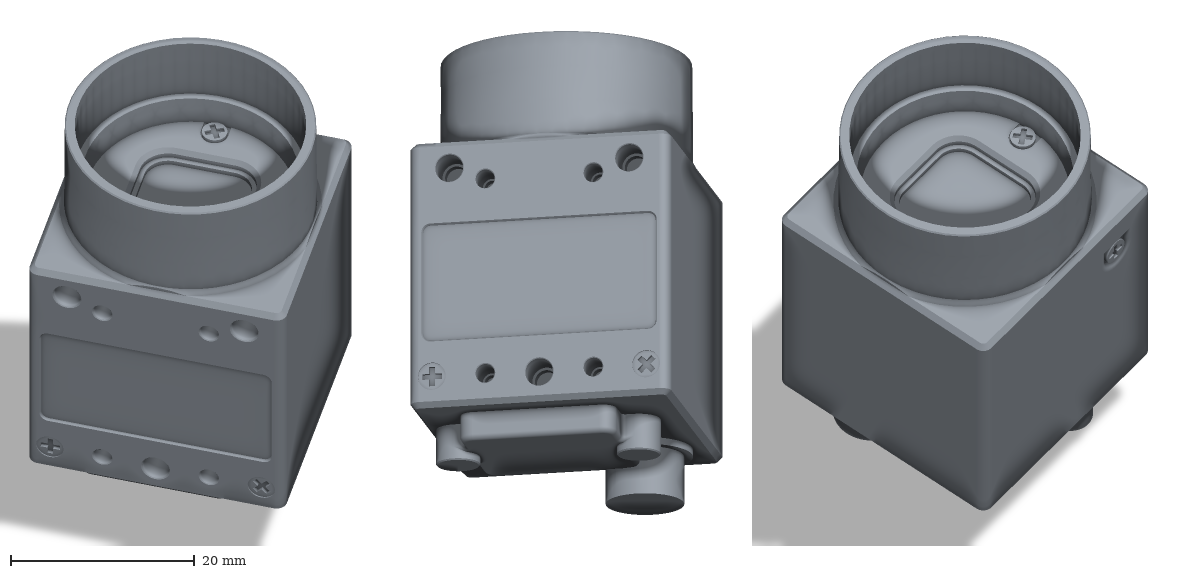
import cadquery as cq
import math


body_side = 29.0
body_height = 29.95
edge_radius = 1.15
body_chamfer = 0.6
half_side = body_side / 2
overall_height = 48.05

connector_radius = 4.3
connector_length = 6.1
connector_flange_radius = 5.25
connector_flange_height = 0.75
connector_x = 7.2
connector_y = 7.2

tube_top = overall_height - connector_length
tube_top_radius = 13.7
tube_base_radius = 13.8
tube_rim_chamfer = 0.15
collar_radius = 14.3
collar_overlap = 0.5
bore_radius = 12.6
ledge_radius = 11.8
floor_radius = 11.45
ledge_z = tube_top - 7.65
floor_z = ledge_z - 3.15

window_x = 14.05
window_y = 13.4
window_corner = 3.65
window_bevel = 0.5
window_wall = 0.6
glass_inset = 0.55
glass_depth = 0.6

cross_length = 2.15
cross_width = 0.62
cross_depth = 0.4
tube_screw_y = 10.0
tube_screw_radius = 1.4
tube_screw_height = 0.3
tube_screw_angle = 30.0
notch_radius = 1.55
notch_depth = 0.2
front_screw_x = 11.9
front_screw_radius = 1.55
front_screw_sink = 0.15

hole_z_low = 3.4
hole_pitch_z = 22.0
small_hole_x = 6.0
small_bore_radius = 1.05
small_core_radius = 0.84
large_hole_x = 10.0
large_hole_z_low = 3.2
large_hole_pitch_z = 23.65
large_bore_radius = 1.55
large_core_radius = 1.25
bore_depth = 3.85
core_depth = 4.8
rim_bevel = 0.1

label_width = 26.2
label_bottom = 7.35
label_top = 20.7
label_corner = 1.0
label_depth = 0.3
label_taper = 30.0

cover_screw_y = -8.3
cover_screw_z = 24.45
cover_screw_radius = 1.5
cover_screw_height = 0.5
pocket_radius = 1.8
pocket_depth = 0.6
pocket_top_z = 26.35
rim_width = 0.75
rim_radius = 0.95
pocket_mouth_radius = pocket_radius + rim_width

block_centre_x = -1.0
block_length = 17.3
block_y_min = -11.4
block_y_max = 3.7
block_height = 3.08
block_corner = 1.55
block_edge = 0.6
jack_pitch = 20.1
jack_y = -4.65
jack_radius = 2.4
jack_length = 4.0
jack_chamfer = 0.15
lobe_width = 4.8
lobe_root_radius = 0.5

front_face = cq.Workplane(cq.Plane((0, -half_side, 0), xDir=(1, 0, 0), normal=(0, -1, 0)))
left_face = cq.Workplane(cq.Plane((-half_side, 0, 0), xDir=(0, -1, 0), normal=(-1, 0, 0)))
floor_face = cq.Workplane("XY", origin=(0, 0, floor_z))


def turn(profile):
    """Solid of revolution about Z from (radius, height) points."""
    return cq.Workplane("XZ").polyline(profile).close().revolve(360, (0, 0, 0), (0, 1, 0))


def cross_slot(head, angle=0.0):
    """Cross-shaped driver slot cut inwards from the centre of a screw head."""
    turned = head.transformed(rotate=(0, 0, angle))
    slot = turned.rect(cross_length, cross_width).extrude(-cross_depth)
    return slot.union(turned.rect(cross_width, cross_length).extrude(-cross_depth))


def stepped_hole(x, z, bore_radius, core_radius):
    """Blind hole in the front face: bevelled rim, bore, then a narrower core."""
    centre = front_face.center(x, z)
    bore = centre.circle(bore_radius).extrude(-bore_depth)
    core = centre.circle(core_radius).extrude(-core_depth)
    rim = centre.circle(bore_radius + rim_bevel).extrude(-rim_bevel, taper=45)
    return bore.union(core).union(rim)


def rounded_prism(length, width, corner, top, depth, taper=0.0):
    """Rounded rectangular prism reaching down from a given height."""
    outline = cq.Sketch().rect(length, width).vertices().fillet(corner)
    return cq.Workplane("XY", origin=(0, 0, top)).placeSketch(outline).extrude(-depth, taper=taper)


def make_body():
    body = cq.Workplane("XY").box(body_side, body_side, body_height, centered=(True, True, False))
    return body.edges("|Z").fillet(edge_radius).faces("<Z or >Z").chamfer(body_chamfer)


def make_tube():
    tube = turn(
        [
            (0, body_height - collar_overlap),
            (collar_radius + collar_overlap, body_height - collar_overlap),
            (tube_base_radius, body_height + collar_radius - tube_base_radius),
            (tube_top_radius, tube_top - tube_rim_chamfer),
            (tube_top_radius - tube_rim_chamfer, tube_top),
            (0, tube_top),
        ]
    )
    flat_side = body_side - 2 * body_chamfer
    return tube.intersect(cq.Workplane("XY").box(flat_side, flat_side, 2 * tube_top))


def make_bore():
    return turn(
        [
            (0, floor_z),
            (floor_radius, floor_z),
            (ledge_radius, ledge_z),
            (bore_radius, ledge_z),
            (bore_radius, tube_top),
            (0, tube_top),
        ]
    )


def make_window():
    neck_x = window_x - 2 * window_bevel
    neck_y = window_y - 2 * window_bevel
    neck_corner = window_corner - window_bevel
    neck_depth = window_bevel + window_wall
    neck = rounded_prism(neck_x, neck_y, neck_corner, floor_z, neck_depth)
    mouth = rounded_prism(window_x, window_y, window_corner, floor_z, window_bevel, taper=45)
    glass = rounded_prism(
        neck_x - 2 * glass_inset,
        neck_y - 2 * glass_inset,
        neck_corner - glass_inset,
        floor_z - neck_depth,
        glass_depth,
    )
    return neck.union(mouth).union(glass)


def add_tube_screw(solid, side):
    """Screw head standing in a shallow U-shaped notch that runs out to the tube wall."""
    centre = floor_face.center(0, side * tube_screw_y)
    reach = floor_radius - tube_screw_y
    arm = centre.center(0, side * reach / 2).rect(2 * notch_radius, reach).extrude(-notch_depth)
    notch = centre.circle(notch_radius).extrude(-notch_depth).union(arm)
    notch = notch.intersect(floor_face.circle(floor_radius).extrude(-notch_depth))
    seat = centre.workplane(offset=-notch_depth)
    head = seat.circle(tube_screw_radius).extrude(notch_depth + tube_screw_height)
    slot = cross_slot(centre.workplane(offset=tube_screw_height), tube_screw_angle)
    return solid.cut(notch).union(head).cut(slot)


def make_block():
    """Rectangular connector: block, side lobes and two jack screws."""
    middle_y = (block_y_min + block_y_max) / 2
    width = block_y_max - block_y_min
    block = (
        cq.Workplane("XY")
        .center(block_centre_x, middle_y)
        .rect(block_length, width)
        .extrude(-block_height)
        .edges("|Z")
        .fillet(block_corner)
    )
    lobes = cq.Workplane("XY").center(block_centre_x, jack_y).rect(jack_pitch, lobe_width).extrude(-block_height)
    block = block.union(lobes)
    half = block_length / 2
    roots = cq.selectors.BoxSelector(
        (block_centre_x - half - 0.05, jack_y - lobe_width, -block_height - 0.5),
        (block_centre_x + half + 0.05, jack_y + lobe_width, 0.5),
    )
    block = block.edges("|Z").edges(roots).fillet(lobe_root_radius)
    block = block.faces("<Z").edges().fillet(block_edge)
    for side in (1, -1):
        jack = (
            cq.Workplane("XY")
            .center(block_centre_x + side * jack_pitch / 2, jack_y)
            .circle(jack_radius)
            .extrude(-jack_length)
            .faces("<Z")
            .chamfer(jack_chamfer)
        )
        block = block.union(jack)
    return block


def make_round_connector():
    base = cq.Workplane("XY").center(connector_x, connector_y)
    flange = base.circle(connector_flange_radius).extrude(-connector_flange_height)
    return flange.union(base.circle(connector_radius).extrude(-connector_length))


def make_label_recess():
    outline = cq.Sketch().rect(label_width, label_top - label_bottom).vertices().fillet(label_corner)
    centre = front_face.center(0, (label_bottom + label_top) / 2)
    return centre.placeSketch(outline).extrude(-label_depth, taper=label_taper)


def make_front_holes():
    holes = [stepped_hole(0, large_hole_z_low, large_bore_radius, large_core_radius)]
    large_z = large_hole_z_low + large_hole_pitch_z
    for side in (1, -1):
        holes.append(stepped_hole(side * large_hole_x, large_z, large_bore_radius, large_core_radius))
        for z in (hole_z_low, hole_z_low + hole_pitch_z):
            holes.append(stepped_hole(side * small_hole_x, z, small_bore_radius, small_core_radius))
    return holes


def make_front_screw(x, angle):
    """Cut that leaves a slightly sunk screw head with a driver slot."""
    centre = front_face.center(x, hole_z_low)
    seat = centre.circle(front_screw_radius).extrude(-front_screw_sink)
    return seat.union(cross_slot(centre.workplane(offset=-front_screw_sink), angle))


def pocket_section(centre):
    """Half section of the cover pocket: radius from the screw axis against height over the face."""
    rim_depth = rim_radius - math.sqrt(rim_radius**2 - rim_width**2)
    half_angle = math.asin(rim_width / rim_radius) / 2
    rim_middle = (
        pocket_mouth_radius - rim_radius * math.sin(half_angle),
        -rim_radius * (1 - math.cos(half_angle)),
    )
    section_plane = cq.Plane(centre.plane.origin, xDir=(0, -1, 0), normal=(0, 0, -1))
    return (
        cq.Workplane(section_plane)
        .lineTo(pocket_mouth_radius, 0)
        .threePointArc(rim_middle, (pocket_radius, -rim_depth))
        .lineTo(pocket_radius, -pocket_depth)
        .lineTo(0, -pocket_depth)
        .close()
    )


def make_cover_pocket():
    """U-shaped pocket, cut square at its top, that leaves a screw head standing inside."""
    centre = left_face.center(-cover_screw_y, cover_screw_z)
    half_trough = pocket_section(centre).extrude(cover_screw_z - pocket_top_z)
    trough = half_trough.union(half_trough.mirror("XZ", (0, cover_screw_y, 0)))
    round_end = pocket_section(centre).revolve(360, (0, 0, 0), (0, 1, 0))
    lower_half = centre.center(0, -pocket_mouth_radius).rect(2 * pocket_mouth_radius, 2 * pocket_mouth_radius)
    round_end = round_end.intersect(lower_half.extrude(-pocket_depth))

    head = centre.workplane(offset=-pocket_depth).circle(cover_screw_radius).extrude(cover_screw_height)
    slot = cross_slot(centre.workplane(offset=cover_screw_height - pocket_depth))
    return trough.union(round_end).cut(head).union(slot)


result = make_body().union(make_tube()).cut(make_bore()).cut(make_window())
for side in (1, -1):
    result = add_tube_screw(result, side)
result = result.union(make_block()).union(make_round_connector())
result = result.cut(make_label_recess())
for hole in make_front_holes():
    result = result.cut(hole)
result = result.cut(make_front_screw(-front_screw_x, 0))
result = result.cut(make_front_screw(front_screw_x, 45))
result = result.cut(make_cover_pocket())